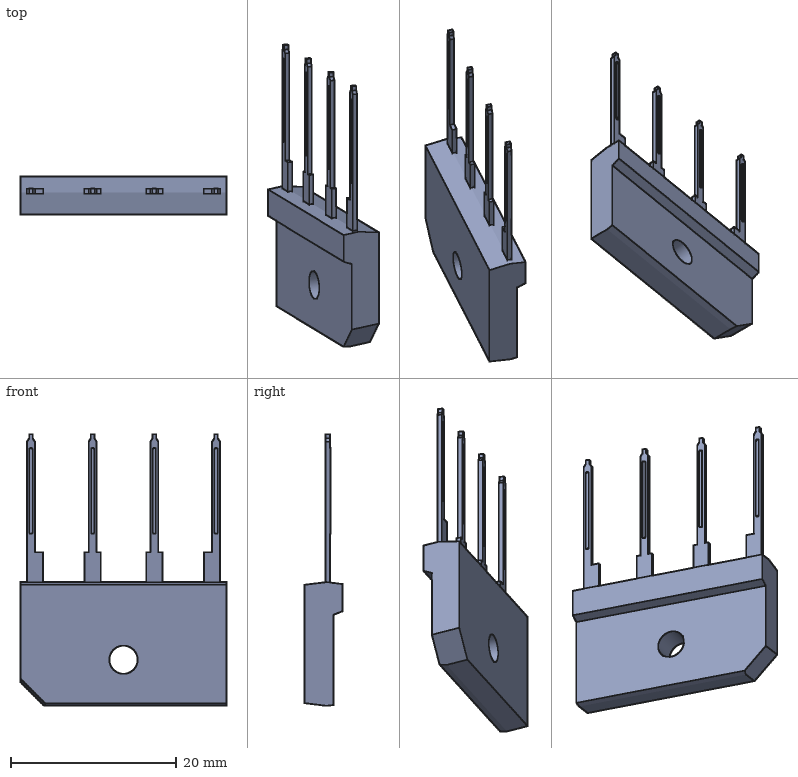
import cadquery as cq
import math

width = 25.0
depth = 4.6
thin_depth = 3.53
ridge_height = 15.03
parting_y = 2.67
draft_angle = 7.0
ledge_top_z = 11.47
ledge_root_z = 11.05
corner_height = 3.33
corner_overrun = 0.65
hole_diameter = 3.4
hole_z = 5.6

pin_pitch = 7.48
pin_thickness = 0.55
pin_front_y = 2.55
pin_top_z = 32.95
blade_width = 1.0
shoulder_width = 1.98
shoulder_z = 18.65
tip_width = 0.45
tip_length = 0.53
tip_taper_length = 0.4
socket_depth = 1.0

bead_width = 0.4
bead_bottom_z = 20.85
bead_top_z = 31.27
bead_offset = 0.1

slope = math.tan(math.radians(draft_angle))
left_x = -width / 2
pin_foot_z = ridge_height - socket_depth


def top_z(y):
    """Height of the drafted top face at depth y."""
    return ridge_height - slope * abs(y - parting_y)


def bottom_z(y):
    """Height of the drafted bottom face at depth y."""
    return slope * abs(y - parting_y)


def make_block():
    """Side profile carried across the full width; the end faces are upright."""
    side_profile = [
        (0, bottom_z(0)),
        (parting_y, bottom_z(parting_y)),
        (thin_depth, bottom_z(thin_depth)),
        (thin_depth, ledge_root_z),
        (depth, ledge_top_z),
        (depth, top_z(depth)),
        (parting_y, top_z(parting_y)),
        (0, top_z(0)),
    ]
    return cq.Workplane("YZ", origin=(left_x, 0, 0)).polyline(side_profile).close().extrude(width)


def make_corner_cutter():
    """Wedge under the 45 degree corner; its sloping face drops by the draft towards the rear."""

    def triangle(y):
        low_x = left_x - corner_overrun
        low_z = -corner_overrun
        leg = corner_height - slope * y + 2 * corner_overrun
        return [(low_x, low_z), (low_x + leg, low_z), (low_x, low_z + leg)]

    return (
        cq.Workplane("XZ").polyline(triangle(0)).close()
        .workplane(offset=-depth).polyline(triangle(depth)).close()
        .loft(ruled=True)
    )


def make_housing(pins):
    """Block with its bevelled corner, mounting hole and a matching socket for every pin."""
    hole = cq.Workplane("XZ", origin=(0, 0, hole_z)).circle(hole_diameter / 2).extrude(-depth)
    housing = make_block().cut(make_corner_cutter()).cut(hole)
    for pin in pins:
        housing = housing.cut(pin)
    return housing


def make_blade(x):
    """Narrow upright lead with a tapered tip."""
    half_blade = blade_width / 2
    half_tip = tip_width / 2
    tip_base_z = pin_top_z - tip_length
    blade_top_z = tip_base_z - tip_taper_length
    outline = [
        (-half_blade, pin_foot_z),
        (half_blade, pin_foot_z),
        (half_blade, blade_top_z),
        (half_tip, tip_base_z),
        (half_tip, pin_top_z),
        (-half_tip, pin_top_z),
        (-half_tip, tip_base_z),
        (-half_blade, blade_top_z),
    ]
    return cq.Workplane("XZ", origin=(x, pin_front_y, 0)).polyline(outline).close().extrude(-pin_thickness)


def make_shoulder(x):
    """Wide foot of a pin, partly inside the housing."""
    return (
        cq.Workplane("XY", origin=(x, pin_front_y, pin_foot_z))
        .box(shoulder_width, pin_thickness, shoulder_z - pin_foot_z, centered=(True, False, False))
    )


def make_bead(x, y):
    """Long round-ended bead on a pin, starting at depth y and reaching towards the rear."""
    return (
        cq.Workplane("XZ", origin=(x, y, (bead_bottom_z + bead_top_z) / 2))
        .slot2D(bead_top_z - bead_bottom_z, bead_width, 90)
        .extrude(-bead_offset)
    )


def make_pin(x, shoulder_shift):
    """Pin with its blade centred on x and its wide shoulder shifted sideways from it."""
    flat_pin = make_blade(x).union(make_shoulder(x + shoulder_shift))
    groove = make_bead(x, pin_front_y)
    bump = make_bead(x, pin_front_y + pin_thickness)
    return flat_pin.cut(groove).union(bump)


end_shift = (shoulder_width - blade_width) / 2
shoulder_shifts = [end_shift, 0, 0, -end_shift]

pins = []
for index, shoulder_shift in enumerate(shoulder_shifts):
    pin_x = (index - (len(shoulder_shifts) - 1) / 2) * pin_pitch
    pins.append(make_pin(pin_x, shoulder_shift))

housing = make_housing(pins)

result = cq.Compound.makeCompound([housing.val(), *[pin.val() for pin in pins]])